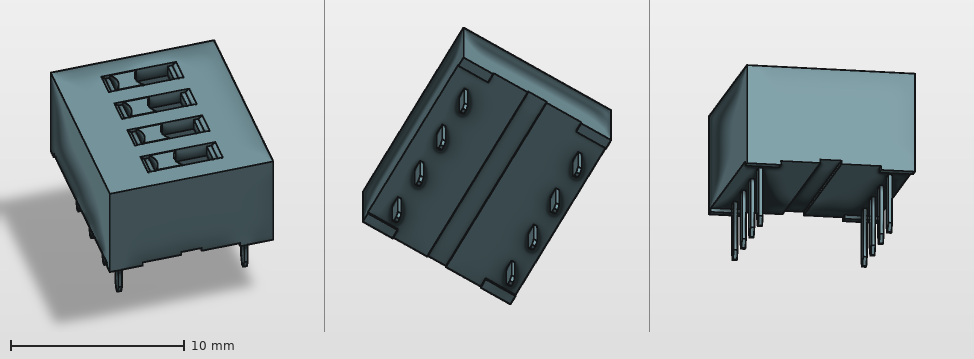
import cadquery as cq

LENGTH = 11.52
WIDTH = 9.9
TOTAL_HEIGHT = 9.05
HOUSING_HEIGHT = 5.88

FOOT_LENGTH = 0.59
FOOT_WIDTH = 2.0
FOOT_HEIGHT = 0.23
CHANNEL_WIDTH = 1.24
CHANNEL_HEIGHT = 0.44

SWITCH_COUNT = 4
ROW_SPAN = 7.61
SWITCH_PITCH = ROW_SPAN / (SWITCH_COUNT - 1)
SWITCH_XS = [i * SWITCH_PITCH - ROW_SPAN / 2 for i in range(SWITCH_COUNT)]

WINDOW_WIDTH = 1.46
WINDOW_LENGTH = 4.53
SLOPE_RUN = 0.23
LEDGE_DEPTH = 0.22
LEDGE_LENGTH = 0.28
PIT_LENGTH = WINDOW_LENGTH - 2 * (SLOPE_RUN + LEDGE_LENGTH)
PIT_DEPTH = 0.9

SLIDER_WIDTH = 1.36
SLIDER_LENGTH = 1.6
SCOOP_DEPTH = 0.28

PIN_ROW_SPACING = 7.61
PIN_WIDTH = 0.62
PIN_THICKNESS = 0.23
PIN_TIP_WIDTH = 0.23
PIN_TAPER_LENGTH = 0.51
PIN_ROOT_Z = CHANNEL_HEIGHT - HOUSING_HEIGHT


def make_housing():
    """Box with a raised underside between the corner feet and a channel along X."""
    bottom = -HOUSING_HEIGHT
    housing = cq.Workplane("XY").box(LENGTH, WIDTH, HOUSING_HEIGHT, centered=(True, True, False))
    housing = housing.translate((0, 0, bottom))

    def bottom_cutter(length, width, height):
        cutter = cq.Workplane("XY").box(length, width, height, centered=(True, True, False))
        return cutter.translate((0, 0, bottom))

    housing = housing.cut(bottom_cutter(LENGTH, WIDTH - 2 * FOOT_WIDTH, FOOT_HEIGHT))
    housing = housing.cut(bottom_cutter(LENGTH - 2 * FOOT_LENGTH, WIDTH, FOOT_HEIGHT))
    return housing.cut(bottom_cutter(LENGTH, CHANNEL_WIDTH, CHANNEL_HEIGHT))


def make_window(x):
    """Cutter for one window: a stepped Y-Z profile extruded across the window width."""
    half_window = WINDOW_LENGTH / 2
    half_ledges = half_window - SLOPE_RUN
    half_pit = PIT_LENGTH / 2
    return (
        cq.Workplane("YZ")
        .moveTo(-half_window, 0)
        .lineTo(-half_ledges, -LEDGE_DEPTH)
        .lineTo(-half_pit, -LEDGE_DEPTH)
        .lineTo(-half_pit, -PIT_DEPTH)
        .lineTo(half_pit, -PIT_DEPTH)
        .lineTo(half_pit, -LEDGE_DEPTH)
        .lineTo(half_ledges, -LEDGE_DEPTH)
        .lineTo(half_window, 0)
        .close()
        .extrude(WINDOW_WIDTH / 2, both=True)
        .translate((x, 0, 0))
    )


def make_slider(x):
    """Slider standing on the pit floor, its top level with the housing."""
    half_width = SLIDER_WIDTH / 2
    y_front = -PIT_LENGTH / 2
    y_back = y_front + SLIDER_LENGTH
    return (
        cq.Workplane("XY", origin=(x, 0, -PIT_DEPTH))
        .moveTo(-half_width, y_front)
        .threePointArc((0, y_front + SCOOP_DEPTH), (half_width, y_front))
        .lineTo(half_width, y_back)
        .threePointArc((0, y_back - SCOOP_DEPTH), (-half_width, y_back))
        .close()
        .extrude(PIT_DEPTH)
    )


def make_pin(x, y):
    """Pin blade reaching from inside the housing down to its tip."""
    half_width = PIN_WIDTH / 2
    half_tip = PIN_TIP_WIDTH / 2
    tip_z = -TOTAL_HEIGHT
    taper_z = tip_z + PIN_TAPER_LENGTH
    return (
        cq.Workplane("XZ")
        .moveTo(-half_width, PIN_ROOT_Z)
        .lineTo(-half_width, taper_z)
        .lineTo(-half_tip, tip_z)
        .lineTo(half_tip, tip_z)
        .lineTo(half_width, taper_z)
        .lineTo(half_width, PIN_ROOT_Z)
        .close()
        .extrude(PIN_THICKNESS / 2, both=True)
        .translate((x, y, 0))
    )


result = make_housing()
for switch_x in SWITCH_XS:
    result = result.cut(make_window(switch_x)).union(make_slider(switch_x))
    for pin_y in (-PIN_ROW_SPACING / 2, PIN_ROW_SPACING / 2):
        result = result.union(make_pin(switch_x, pin_y))